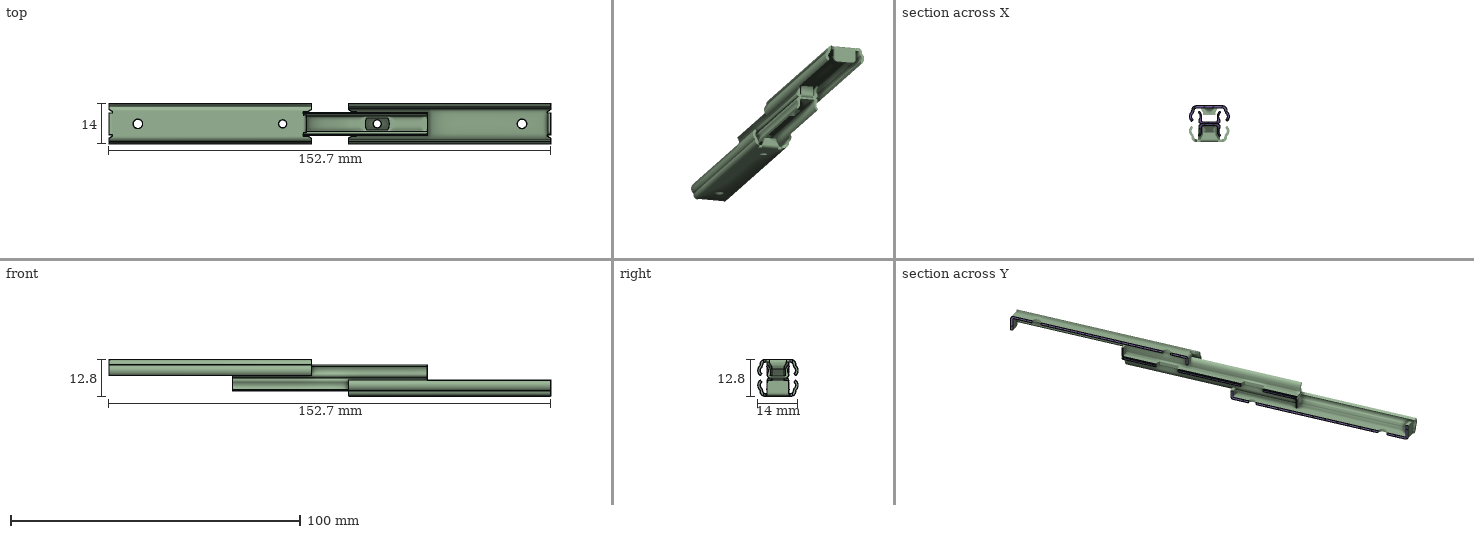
import cadquery as cq
import math


total_length = 152.7
total_width = 13.98
total_height = 12.8
rail_length = 70.0
sheet = 1.0
rail_top = total_height / 2
rail_web_bottom = rail_top - sheet
closed_end = -total_length / 2
open_end = closed_end + rail_length

ball_radius = 1.4
lip_thickness = 0.9
rail_race_outer = ball_radius + lip_thickness
race_y = total_width / 2 - rail_race_outer
race_z = 2.55
rail_race_angle = 52.0

rail_flat_half_width = 4.4
lip_bend_inner_radius = 0.8
tab_half_width = 3.8
tab_bottom = 0.75
tab_corner_radius = 1.2
relief_length = 1.2
relief_mouth_y = 5.0
relief_root_y = 4.2
open_tab_face_setback = 1.75
open_tab_tip = 3.0
open_tab_root_half_width = 3.0
open_tab_tip_half_width = 2.2
open_tab_taper_height = 1.5
open_tab_bend_radius = 1.05
open_tab_face = open_end - open_tab_face_setback
web_setback = open_tab_face_setback + open_tab_bend_radius

hole_edge_distance = 10.0
hole_pitch = 50.0
screw_hole_x = closed_end + hole_edge_distance
inner_hole_x = screw_hole_x + hole_pitch
screw_hole_diameter = 3.2
inner_hole_diameter = 2.7

channel_length = 67.4
channel_height = 4.45
channel_sheet = 0.65
channel_race_radius = 1.8
channel_waist_half_width = 3.29
channel_corner_radius = 1.0
channel_root_fillet = 0.6
channel_tab_half_width = 2.1
channel_tab_height = 4.0
channel_tab_bend_radius = 1.1
access_hole_diameter = 8.3
access_hole_width = 4.1


def race_point(radius, angle):
    """Point (y, z) on a circle about the ball centre; angle 0 points outward along +Y."""
    turn = math.radians(angle)
    return (race_y + radius * math.cos(turn), race_z + radius * math.sin(turn))


def turned_about_y(body):
    """Half turn about the Y axis, which maps the upper half of the slide onto the lower."""
    return body.rotate((0, 0, 0), (0, 1, 0), 180)


def mirrored_extrusion(half_profile, start, length):
    """Extrude a closed half profile in YZ along X and join it with its mirror image in Y."""
    half = half_profile.close().extrude(length).translate((start, 0, 0))
    return half.union(half.mirror("XZ"))


def build_rail_section():
    lip_bend_outer_radius = lip_bend_inner_radius + sheet
    lip_bend_z = rail_web_bottom - lip_bend_inner_radius
    half = (
        cq.Workplane("YZ")
        .moveTo(0, rail_top)
        .lineTo(rail_flat_half_width, rail_top)
        .radiusArc((rail_flat_half_width + lip_bend_outer_radius, lip_bend_z), lip_bend_outer_radius)
        .lineTo(*race_point(rail_race_outer, rail_race_angle))
        .threePointArc(race_point(rail_race_outer, 0), race_point(rail_race_outer, -rail_race_angle))
        .lineTo(*race_point(ball_radius, -rail_race_angle))
        .threePointArc(race_point(ball_radius, 0), race_point(ball_radius, rail_race_angle))
        .lineTo(rail_flat_half_width + lip_bend_inner_radius, lip_bend_z)
        .radiusArc((rail_flat_half_width, rail_web_bottom), -lip_bend_inner_radius)
        .lineTo(0, rail_web_bottom)
    )
    return mirrored_extrusion(half, closed_end, rail_length)


def build_end_relief(end, inward):
    """Cutter that clears the web between the lips at one rail end, flared towards the end."""
    root = end + inward * relief_length
    outline = [
        (end, relief_mouth_y),
        (root, relief_root_y),
        (root, -relief_root_y),
        (end, -relief_mouth_y),
    ]
    return cq.Workplane("XY").polyline(outline).close().extrude(rail_top)


def build_web_setback():
    """Cutter that shortens the web at the open end so the channel can pass."""
    return (
        cq.Workplane("XY")
        .box(web_setback, 2 * relief_root_y, rail_top, centered=(False, True, False))
        .translate((open_end - web_setback, 0, 0))
    )


def build_bent_tab(height, half_width, thickness, bend_radius):
    """L-shaped tab: outer face on X = 0, foot along +X on Z = 0, tab rising along +Z."""
    inner_radius = bend_radius - thickness
    return (
        cq.Workplane("XZ")
        .moveTo(bend_radius, 0)
        .radiusArc((0, bend_radius), bend_radius)
        .lineTo(0, height)
        .lineTo(thickness, height)
        .lineTo(thickness, bend_radius)
        .radiusArc((bend_radius, thickness), -inner_radius)
        .close()
        .extrude(half_width, both=True)
    )


def build_stop_tab():
    """Closed-end tab bent down from the rail web, with rounded lower corners."""
    tab = build_bent_tab(rail_top - tab_bottom, tab_half_width, sheet, relief_length)
    tab = tab.edges("|X and >Z").fillet(tab_corner_radius)
    return tab.mirror("XY").translate((closed_end, 0, rail_top))


def build_open_tab():
    """Short open-end tab bent down from the rail web, tapered to pass between the channel arms."""
    height = rail_top - open_tab_tip
    taper_top = sheet + open_tab_taper_height
    tab = build_bent_tab(height, open_tab_root_half_width, sheet, open_tab_bend_radius)
    outline = (
        cq.Workplane("YZ")
        .moveTo(-open_tab_root_half_width, 0)
        .lineTo(open_tab_root_half_width, 0)
        .lineTo(open_tab_root_half_width, sheet)
        .lineTo(open_tab_tip_half_width, taper_top)
        .lineTo(open_tab_tip_half_width, height)
        .lineTo(-open_tab_tip_half_width, height)
        .lineTo(-open_tab_tip_half_width, taper_top)
        .lineTo(-open_tab_root_half_width, sheet)
        .close()
        .extrude(open_tab_bend_radius)
    )
    tab = tab.intersect(outline)
    return turned_about_y(tab).translate((open_tab_face, 0, rail_top))


def vertical_hole(x, diameter):
    return cq.Workplane("XY").center(x, 0).circle(diameter / 2).extrude(rail_top)


def build_rail():
    rail = build_rail_section()
    rail = rail.cut(build_end_relief(closed_end, 1))
    rail = rail.cut(build_end_relief(open_end, -1))
    rail = rail.cut(build_web_setback())
    rail = rail.union(build_stop_tab())
    rail = rail.union(build_open_tab())
    rail = rail.cut(vertical_hole(screw_hole_x, screw_hole_diameter))
    return rail.cut(vertical_hole(inner_hole_x, inner_hole_diameter))


def build_channel_section():
    """Channel whose rounded outer corners run tangentially into the ball races of its arms."""
    race_centre_y = channel_waist_half_width + channel_race_radius
    arm_inner_y = channel_waist_half_width - channel_sheet
    arm_inner_radius = channel_race_radius + channel_sheet
    corner_rise = race_z - channel_corner_radius
    centre_distance = channel_race_radius + channel_corner_radius
    corner_reach = math.sqrt(centre_distance**2 - corner_rise**2)
    race_start_y = race_centre_y - corner_reach * channel_race_radius / centre_distance
    race_start_z = race_z - corner_rise * channel_race_radius / centre_distance
    tip_run = math.sqrt(arm_inner_radius**2 - (channel_height - race_z) ** 2)
    tip_inner_y = race_centre_y - tip_run
    tip_scale = channel_race_radius / arm_inner_radius
    tip_outer_y = race_centre_y - tip_scale * tip_run
    tip_outer_z = race_z + tip_scale * (channel_height - race_z)
    half = (
        cq.Workplane("YZ")
        .lineTo(race_centre_y - corner_reach, 0)
        .radiusArc((race_start_y, race_start_z), -channel_corner_radius)
        .threePointArc((channel_waist_half_width, race_z), (tip_outer_y, tip_outer_z))
        .lineTo(tip_inner_y, channel_height)
        .radiusArc((arm_inner_y, race_z), -arm_inner_radius)
        .lineTo(arm_inner_y, channel_sheet + channel_root_fillet)
        .radiusArc((arm_inner_y - channel_root_fillet, channel_sheet), channel_root_fillet)
        .lineTo(0, channel_sheet)
    )
    return mirrored_extrusion(half, -channel_length / 2, channel_length)


def build_channel():
    """Half of the middle slide; its web rests against the other half at Z = 0."""
    channel = build_channel_section()
    access_holes = (
        cq.Workplane("XY")
        .pushPoints([(inner_hole_x, 0), (-inner_hole_x, 0)])
        .circle(access_hole_diameter / 2)
        .extrude(channel_sheet)
    )
    web_strip = cq.Workplane("XY").box(channel_length, access_hole_width, 2 * channel_sheet)
    access_holes = access_holes.intersect(web_strip)
    channel_end = -channel_length / 2
    tab_width = 2 * channel_tab_half_width
    tab_seat = (
        cq.Workplane("XY")
        .box(channel_tab_bend_radius, tab_width, channel_sheet, centered=(False, True, False))
        .translate((channel_end, 0, 0))
    )
    tab = build_bent_tab(
        channel_tab_height, channel_tab_half_width, channel_sheet, channel_tab_bend_radius
    )
    tab = tab.translate((channel_end, 0, 0))
    return channel.cut(access_holes).cut(tab_seat).union(tab)


upper_rail = build_rail()
upper_channel = build_channel()
lower_channel = turned_about_y(upper_channel)
lower_rail = turned_about_y(upper_rail)

result = cq.Compound.makeCompound(
    [upper_rail.val(), upper_channel.val(), lower_channel.val(), lower_rail.val()]
)